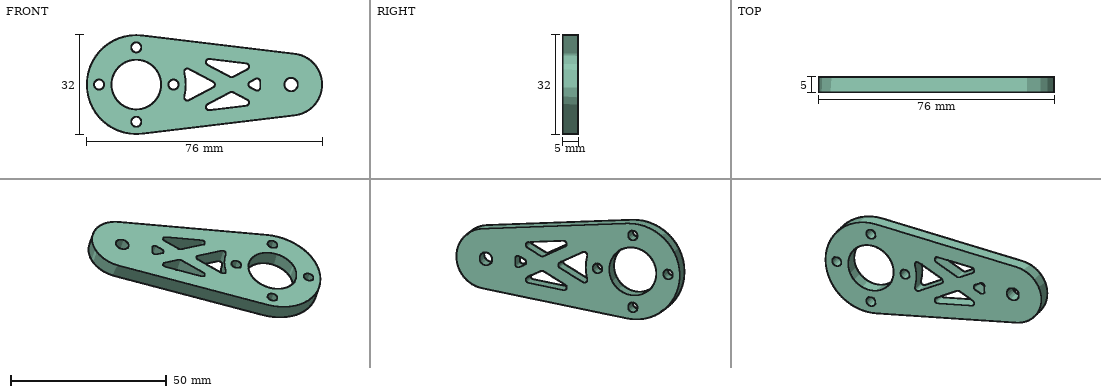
import cadquery as cq
import math

length = 75.95
thickness = 5.0
height = 32.0
large_radius = height / 2
small_radius = 10.0
bore_radius = 8.0
bolt_circle_radius = 12.0
bolt_hole_radius = 1.6
pivot_hole_radius = 2.1

rib_width = 4.0
rib_angle = 27.8
crossing_x = 30.8
edge_margin = 5.0
window_fillet = 1.0

center_distance = length - large_radius - small_radius
taper = math.asin((large_radius - small_radius) / center_distance)
rib_slope = math.tan(math.radians(rib_angle))
rib_half_height = rib_width / 2 / math.cos(math.radians(rib_angle))
rib_half_length = rib_half_height / rib_slope


def tangent_point(center_x, radius):
    """Point where the upper tapered edge touches an end circle."""
    return (center_x + radius * math.sin(taper), radius * math.cos(taper))


def mirrored(point):
    return (point[0], -point[1])


def extrude(sketch):
    return sketch.extrude(thickness / 2, both=True)


def plate():
    large_tangent = tangent_point(0, large_radius)
    small_tangent = tangent_point(center_distance, small_radius)
    outline = (
        cq.Workplane("XZ")
        .moveTo(*large_tangent)
        .lineTo(*small_tangent)
        .threePointArc((center_distance + small_radius, 0), mirrored(small_tangent))
        .lineTo(*mirrored(large_tangent))
        .threePointArc((-large_radius, 0), large_tangent)
        .close()
    )
    return extrude(outline)


def hole(x, z, radius):
    return extrude(cq.Workplane("XZ").center(x, z).circle(radius))


def end_window(circle_x, radius, side):
    """Triangular window from the rib crossing to an arc around an end hole.

    side is +1 when the window is on the +X side of the hole and -1 on the -X side.
    """
    apex_x = crossing_x - side * rib_half_length
    reach = abs(apex_x - circle_x)
    angle = math.radians(rib_angle)
    edge_length = reach * math.cos(angle) - math.sqrt(radius**2 - (reach * math.sin(angle)) ** 2)
    corner = (apex_x - side * edge_length * math.cos(angle), edge_length * math.sin(angle))
    window = (
        cq.Workplane("XZ")
        .moveTo(apex_x, 0)
        .lineTo(*corner)
        .threePointArc((circle_x + side * radius, 0), mirrored(corner))
        .close()
    )
    return extrude(window).edges("|Y").fillet(window_fillet)


def side_window():
    """Upper window between the ribs and the tapered border."""
    border_height = (large_radius - edge_margin) / math.cos(taper)
    border_slope = math.tan(taper)
    rise = border_height - border_slope * crossing_x - rib_half_height
    left_run = rise / (rib_slope - border_slope)
    right_run = rise / (rib_slope + border_slope)
    window = cq.Workplane("XZ").polyline([
        (crossing_x, rib_half_height),
        (crossing_x + right_run, rib_half_height + right_run * rib_slope),
        (crossing_x - left_run, rib_half_height + left_run * rib_slope),
    ]).close()
    return extrude(window).edges("|Y").fillet(window_fillet)


result = plate()

result = result.cut(hole(0, 0, bore_radius))
for x_direction, z_direction in [(1, 0), (0, 1), (-1, 0), (0, -1)]:
    bolt_x = x_direction * bolt_circle_radius
    bolt_z = z_direction * bolt_circle_radius
    result = result.cut(hole(bolt_x, bolt_z, bolt_hole_radius))
result = result.cut(hole(center_distance, 0, pivot_hole_radius))

result = result.cut(end_window(0, large_radius, 1))
result = result.cut(end_window(center_distance, small_radius, -1))
upper_window = side_window()
result = result.cut(upper_window).cut(upper_window.mirror("XY"))